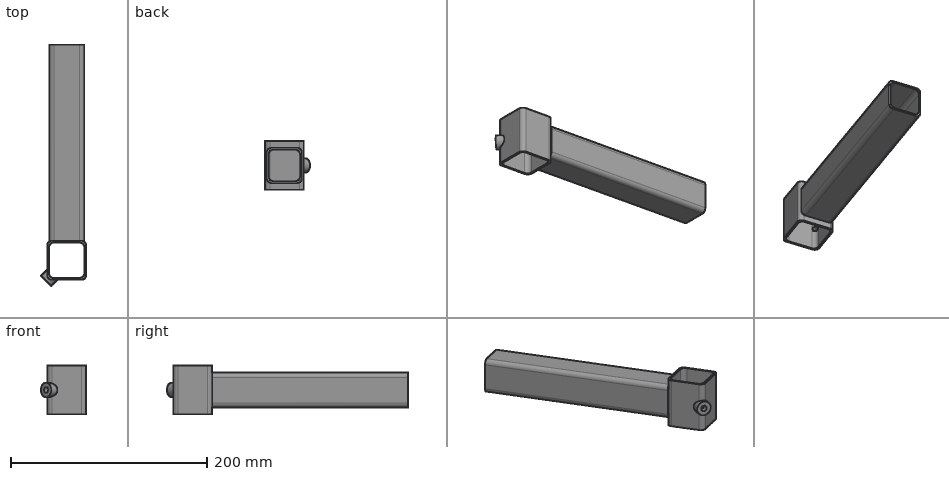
import cadquery as cq
import math

socket_side = 40.0
socket_height = 50.0
wall = 2.0
corner_radius = 5.0

arm_side = 36.0
overall_length = 246.3

boss_diameter = 15.0
bore_diameter = 6.0
boss_overhang = 6.5

half_socket = socket_side / 2
arm_length = overall_length - socket_side - boss_overhang


def rounded_bar(plane, side, radius, length):
    """Square bar with rounded long edges, starting at the plane."""
    return cq.Workplane(plane).sketch().rect(side, side).vertices().fillet(radius).finalize().extrude(length)


socket_base = cq.Plane(origin=(0, 0, -socket_height / 2))
socket_outer = rounded_bar(socket_base, socket_side, corner_radius, socket_height)
socket_cavity = rounded_bar(socket_base, socket_side - 2 * wall, corner_radius, socket_height)

arm_base = cq.Plane(origin=(0, half_socket, 0), xDir=(1, 0, 0), normal=(0, 1, 0))
arm_outer = rounded_bar(arm_base, arm_side, corner_radius, arm_length)
arm_cavity = rounded_bar(arm_base, arm_side - 2 * wall, corner_radius, arm_length)
arm = arm_outer.cut(arm_cavity)

face_offset = half_socket + boss_overhang - boss_diameter / 2 * math.cos(math.radians(45))
boss_face = cq.Plane(origin=(-face_offset, -face_offset, 0), xDir=(0, 0, 1), normal=(1, 1, 0))
boss_length = boss_diameter
boss = cq.Workplane(boss_face).circle(boss_diameter / 2).extrude(boss_length)
bore = cq.Workplane(boss_face).circle(bore_diameter / 2).extrude(boss_length)

result = socket_outer.union(boss).cut(socket_cavity).cut(bore).union(arm)